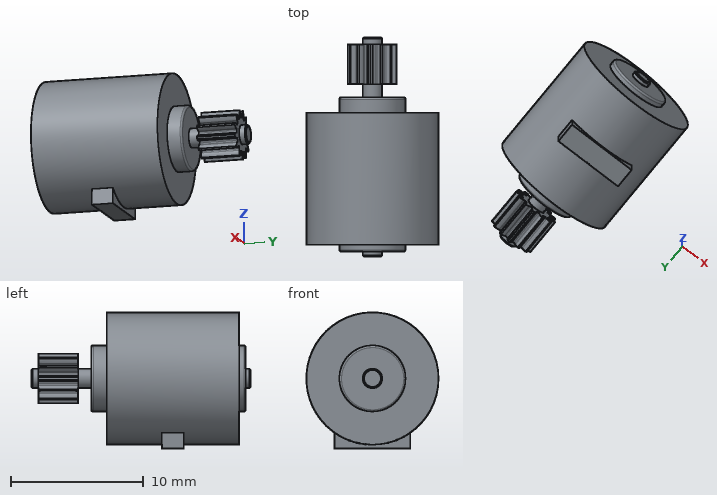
import cadquery as cq
import math


can_diameter = 10.0
can_length = 10.0
boss_diameter = can_diameter / 2
front_boss_length = 0.5
rear_boss_length = 1.16
boss_edge_radius = 0.15

block_width = 5.75
block_length = 1.65
block_bottom_z = -5.3

shaft_diameter = 1.47
shaft_length = 16.55
shaft_front_overhang = 0.38
shaft_chamfer = 0.1

tooth_count = 13
pinion_tip_diameter = 3.75
pinion_length = 3.0
pinion_gap = 1.0
pressure_angle = math.radians(20)
root_fillet_radius = 0.08
dedendum_factor = 1.25
flank_points = 6

can_front_y = -can_length / 2
can_rear_y = can_length / 2
shaft_front_y = can_front_y - front_boss_length - shaft_front_overhang
pinion_front_y = can_rear_y + rear_boss_length + pinion_gap

gear_module = pinion_tip_diameter / (tooth_count + 2)
tip_radius = pinion_tip_diameter / 2
pitch_radius = tooth_count * gear_module / 2
root_radius = pitch_radius - dedendum_factor * gear_module
base_radius = pitch_radius * math.cos(pressure_angle)
tooth_pitch_angle = 2 * math.pi / tooth_count


def cylinder_along_y(diameter, start_y, length):
    """Solid cylinder on the motor axis, running toward +Y from start_y."""
    return cq.Workplane("XZ", origin=(0, start_y, 0)).circle(diameter / 2).extrude(-length)


def make_can():
    """Plain cylindrical can, without its bosses."""
    return cylinder_along_y(can_diameter, can_front_y, can_length)


def make_shaft():
    """Shaft through the whole motor, with both end edges chamfered."""
    shaft = cylinder_along_y(shaft_diameter, shaft_front_y, shaft_length)
    return shaft.faces("<Y or >Y").edges().chamfer(shaft_chamfer)


def make_motor():
    """Can with a rounded boss on each end and the shaft passing through them."""
    front_boss = cylinder_along_y(boss_diameter, can_front_y - front_boss_length, front_boss_length)
    front_boss = front_boss.faces("<Y").edges().fillet(boss_edge_radius)
    rear_boss = cylinder_along_y(boss_diameter, can_rear_y, rear_boss_length)
    rear_boss = rear_boss.faces(">Y").edges().fillet(boss_edge_radius)
    return make_can().union(front_boss).union(rear_boss).union(make_shaft())


def make_terminal_block():
    """Block under the can, its top hollowed to the can's round wall."""
    block = cq.Workplane("XY", origin=(0, 0, block_bottom_z)).box(
        block_width, block_length, -block_bottom_z, centered=(True, True, False)
    )
    return block.cut(make_can())


def polar(radius, angle):
    """Point in the XZ plane at an angle measured from +X toward +Z."""
    return (radius * math.cos(angle), radius * math.sin(angle))


def involute_angle(radius):
    """Polar angle swept by the involute between the base circle and a radius."""
    roll = math.acos(base_radius / radius)
    return math.tan(roll) - roll


def half_tooth_angle(radius):
    """Half of the angle that a tooth spans at a radius."""
    return tooth_pitch_angle / 4 + involute_angle(pitch_radius) - involute_angle(radius)


def make_pinion():
    """Involute pinion with filleted roots and one tooth centred on -X, bored for the shaft."""
    flank_step = (tip_radius - base_radius) / (flank_points - 1)
    flank_radii = [base_radius + flank_step * i for i in range(flank_points)]
    base_half_angle = half_tooth_angle(base_radius)
    tip_half_angle = half_tooth_angle(tip_radius)

    fillet_centre_radius = root_radius + root_fillet_radius
    fillet_top_radius = math.sqrt(fillet_centre_radius**2 - root_fillet_radius**2)
    fillet_angle = math.asin(root_fillet_radius / fillet_centre_radius)
    root_half_angle = base_half_angle + fillet_angle

    outline = cq.Workplane("XZ", origin=(0, pinion_front_y, 0))
    outline = outline.moveTo(*polar(fillet_top_radius, math.pi - base_half_angle))
    for tooth in range(tooth_count):
        centre = math.pi + tooth * tooth_pitch_angle
        next_centre = centre + tooth_pitch_angle
        gap_centre = centre + tooth_pitch_angle / 2
        rising_flank = [polar(r, centre - half_tooth_angle(r)) for r in flank_radii]
        falling_flank = [polar(r, centre + half_tooth_angle(r)) for r in reversed(flank_radii)]
        outline = (
            outline.lineTo(*rising_flank[0])
            .spline(rising_flank[1:], includeCurrent=True)
            .threePointArc(polar(tip_radius, centre), polar(tip_radius, centre + tip_half_angle))
            .spline(falling_flank[1:], includeCurrent=True)
            .lineTo(*polar(fillet_top_radius, centre + base_half_angle))
            .tangentArcPoint(polar(root_radius, centre + root_half_angle), relative=False)
            .threePointArc(polar(root_radius, gap_centre), polar(root_radius, next_centre - root_half_angle))
            .tangentArcPoint(polar(fillet_top_radius, next_centre - base_half_angle), relative=False)
        )
    gear = outline.close().extrude(-pinion_length)
    return gear.cut(cylinder_along_y(shaft_diameter, pinion_front_y, pinion_length))


motor = make_motor()
terminal_block = make_terminal_block()
pinion = make_pinion()

result = cq.Compound.makeCompound([motor.val(), terminal_block.val(), pinion.val()])